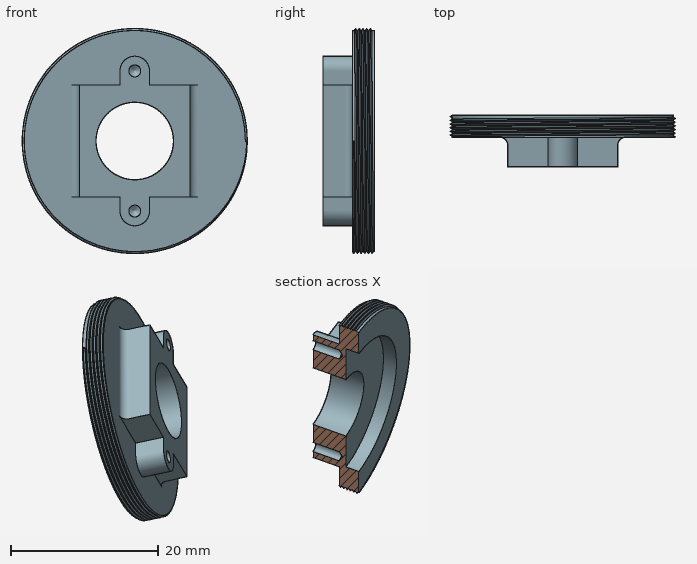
import cadquery as cq

crest_radius = 15.3
root_radius = 15.02
disc_thickness = 3.03
bore_diameter = 10.5

recess_diameter = 22.02
recess_depth = 2.0

thread_length = 2.75
thread_turns = 5.5
thread_pitch = thread_length / thread_turns
thread_start = 0.2
thread_root_width = 0.37
thread_overlap = 0.03

block_width = 15.0
block_height = 15.2
block_depth = 4.0
block_fillet = 1.0
lug_spacing = 19.03
lug_width = 4.0

screw_hole_diameter = 1.62
screw_hole_depth = 4.0
drill_point_depth = 0.5

total_depth = disc_thickness + block_depth
lug_centers = [(0, lug_spacing / 2), (0, -lug_spacing / 2)]


def make_thread():
    """Right-handed triangular ridge wound around the disc from the -X side."""
    buried_radius = root_radius - thread_overlap
    flank_slope = thread_root_width / 2 / (crest_radius - root_radius)
    half_width = flank_slope * (crest_radius - buried_radius)
    helix = cq.Wire.makeHelix(thread_pitch, thread_length, root_radius)
    ridge = (
        cq.Workplane("XZ")
        .polyline([(buried_radius, -half_width), (crest_radius, 0), (buried_radius, half_width)])
        .close()
        .sweep(cq.Workplane(obj=helix), isFrenet=True)
    )
    ridge = ridge.rotate((0, 0, 0), (0, 0, 1), 180).translate((0, 0, thread_start))
    disc_envelope = cq.Workplane().circle(crest_radius + thread_overlap).extrude(disc_thickness)
    return ridge.intersect(disc_envelope)


def make_block():
    """Square block with full-height lugs and concave fillets along its two sides."""
    front = cq.Workplane().workplane(offset=disc_thickness)
    block = front.rect(block_width, block_height).extrude(block_depth)
    lug_bar = front.slot2D(lug_spacing + lug_width, lug_width, 90).extrude(block_depth)
    side = block_width / 2
    fillet = (
        cq.Workplane("XZ", origin=(0, block_height / 2, 0))
        .moveTo(side, disc_thickness)
        .lineTo(side + block_fillet, disc_thickness)
        .radiusArc((side, disc_thickness + block_fillet), block_fillet)
        .close()
        .extrude(block_height)
    )
    return block.union(lug_bar).union(fillet).union(fillet.mirror("YZ"))


def make_screw_hole(center):
    """Drill shape: a cylinder with a conical tip, entering from the front."""
    radius = screw_hole_diameter / 2
    bottom = total_depth - screw_hole_depth
    drill = (
        cq.Workplane("XZ")
        .polyline(
            [
                (0, total_depth),
                (radius, total_depth),
                (radius, bottom),
                (0, bottom - drill_point_depth),
            ]
        )
        .close()
        .revolve(360, (0, 0, 0), (0, 1, 0))
    )
    return drill.translate((*center, 0))


disc = cq.Workplane().circle(root_radius).extrude(disc_thickness)
bore = cq.Workplane().circle(bore_diameter / 2).extrude(total_depth)
recess = cq.Workplane().circle(recess_diameter / 2).extrude(recess_depth)

part = disc.union(make_thread()).union(make_block()).cut(bore).cut(recess)
for lug_center in lug_centers:
    part = part.cut(make_screw_hole(lug_center))

result = part.rotate((0, 0, 0), (1, 0, 0), 90)